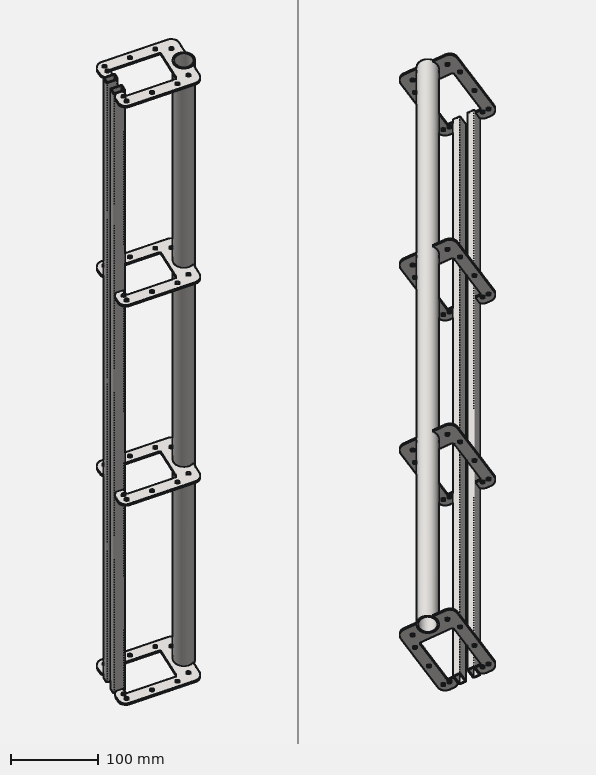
import cadquery as cq

HEIGHT = 1000.0
DEPTH = 109.0
SIDES = (-1, 1)

TUBE_RADIUS = 13.0
TUBE_WALL = 2.0
TUBE_Y = DEPTH - TUBE_RADIUS

POST_WIDTH = 10.0
POST_DEPTH = 15.0
POST_WALL = 1.5
POST_CORNER_RADIUS = 1.5
POST_GAP = 9.0
POST_FRONT_Y = 0.7
POST_X = (POST_GAP + POST_WIDTH) / 2
POST_Y = POST_FRONT_Y + POST_DEPTH / 2

PLATE_COUNT = 4
PLATE_WIDTH = 75.0
PLATE_DEPTH = 103.0
PLATE_THICKNESS = 3.0
PLATE_SPACING = (HEIGHT - PLATE_THICKNESS) / (PLATE_COUNT - 1)
CORNER_RADIUS = 10.0

WINDOW_WIDTH = 45.0
WINDOW_BACK_Y = 77.0
WINDOW_CORNER_RADIUS = 2.0
TAB_DEPTH = 13.0
MOUTH_WIDTH = 24.0

HOLE_DIAMETER = 5.0
LEG_HOLE_X = 30.0
LEG_HOLE_PITCH = 32.0
LEG_HOLE_COUNT = 3
FRONT_HOLE_Y = CORNER_RADIUS
TAB_HOLE_X = MOUTH_WIDTH / 2 + CORNER_RADIUS
REAR_HOLE_X = 23.0
REAR_HOLE_Y = 91.0


def plate_block(width, front_y, back_y):
    """A block of plate thickness, centred on X = 0, between two Y positions."""
    return (
        cq.Workplane("XY")
        .box(width, back_y - front_y, PLATE_THICKNESS, centered=(True, False, False))
        .translate((0, front_y, 0))
    )


def plate_frame():
    """Plate with its opening: a rounded sheet whose two front tabs reach in to the posts."""
    sheet = plate_block(PLATE_WIDTH, 0, PLATE_DEPTH)
    mouth = plate_block(MOUTH_WIDTH, 0, TAB_DEPTH)
    window = plate_block(WINDOW_WIDTH, TAB_DEPTH, WINDOW_BACK_Y)
    rounded = sheet.cut(mouth).edges("|Z and (<Y or >Y)").fillet(CORNER_RADIUS)
    window = window.edges("|Z").fillet(WINDOW_CORNER_RADIUS)
    return rounded.cut(window)


def plate_seats():
    """Cutouts through a plate where the tube and the two posts pass."""
    tube_seat = cq.Workplane("XY").center(0, TUBE_Y).circle(TUBE_RADIUS).extrude(PLATE_THICKNESS)
    post_seats = (
        cq.Workplane("XY")
        .pushPoints([(side * POST_X, POST_Y) for side in SIDES])
        .rect(POST_WIDTH, POST_DEPTH)
        .extrude(PLATE_THICKNESS)
    )
    return tube_seat.union(post_seats)


def plate_holes():
    half_pattern = [(LEG_HOLE_X, FRONT_HOLE_Y + i * LEG_HOLE_PITCH) for i in range(LEG_HOLE_COUNT)]
    half_pattern += [(TAB_HOLE_X, FRONT_HOLE_Y), (REAR_HOLE_X, REAR_HOLE_Y)]
    centers = [(side * x, y) for side in SIDES for x, y in half_pattern]
    return cq.Workplane("XY").pushPoints(centers).circle(HOLE_DIAMETER / 2).extrude(PLATE_THICKNESS)


def make_plate(bottom_z):
    plate = plate_frame().cut(plate_seats()).cut(plate_holes())
    return plate.translate((0, 0, bottom_z))


def make_tube():
    return (
        cq.Workplane("XY")
        .center(0, TUBE_Y)
        .circle(TUBE_RADIUS)
        .circle(TUBE_RADIUS - TUBE_WALL)
        .extrude(HEIGHT)
    )


def make_post(center_x):
    """Rectangular hollow section with rounded outer corners, open at both ends."""
    base = cq.Workplane("XY").center(center_x, POST_Y)
    outer = base.rect(POST_WIDTH, POST_DEPTH).extrude(HEIGHT).edges("|Z").fillet(POST_CORNER_RADIUS)
    bore = base.rect(POST_WIDTH - 2 * POST_WALL, POST_DEPTH - 2 * POST_WALL).extrude(HEIGHT)
    return outer.cut(bore)


plates = [make_plate(i * PLATE_SPACING).solids().val() for i in range(PLATE_COUNT)]
posts = [make_post(side * POST_X).solids().val() for side in SIDES]
tube = make_tube().solids().val()

result = cq.Compound.makeCompound([*plates, *posts, tube])